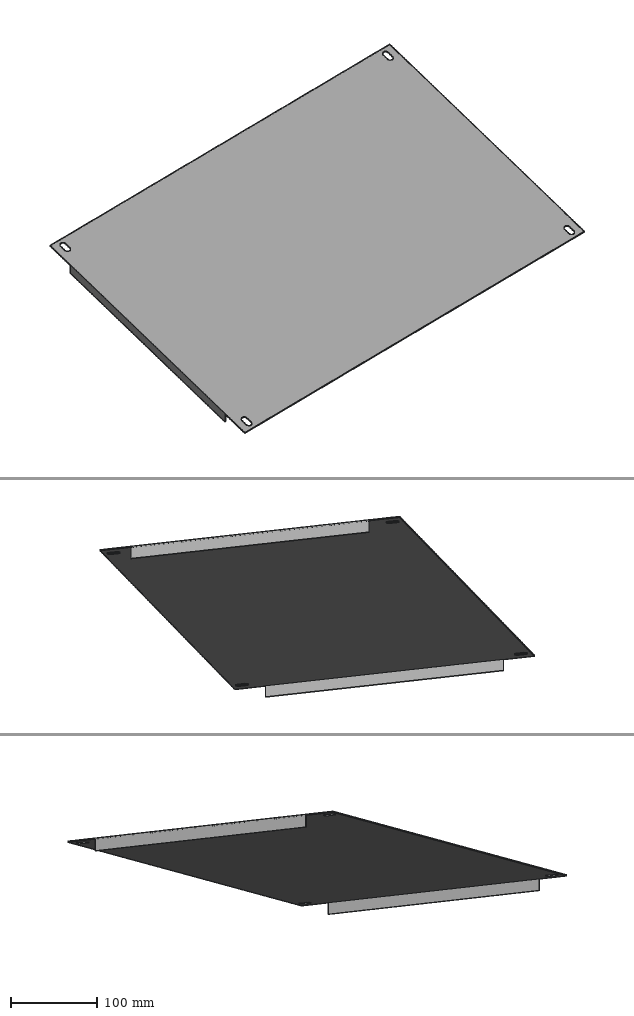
import cadquery as cq

plate_width = 365.0
plate_length = 500.0
total_height = 15.0
sheet = 1.5

flange_width = 290.0

slot_length = 15.5
slot_width = 7.0
slot_spacing_x = 340.0
slot_spacing_y = 475.0


def make_plate():
    """Flat sheet whose top face is at Z = 0."""
    return (
        cq.Workplane("XY")
        .box(plate_width, plate_length, sheet, centered=(True, True, False))
        .translate((0, 0, -sheet))
    )


def make_flange(side):
    """Folded flange, flush with the front (-1) or back (+1) edge."""
    center_y = side * (plate_length - sheet) / 2
    return (
        cq.Workplane("XY")
        .box(flange_width, sheet, total_height, centered=(True, True, False))
        .translate((0, center_y, -total_height))
    )


def make_slots():
    """Round-ended cutters through the sheet at the four corners."""
    return (
        cq.Workplane("XY")
        .rarray(slot_spacing_x, slot_spacing_y, 2, 2)
        .slot2D(slot_length, slot_width)
        .extrude(-sheet)
    )


body = make_plate()
for side in (-1, 1):
    body = body.union(make_flange(side))

result = body.cut(make_slots())